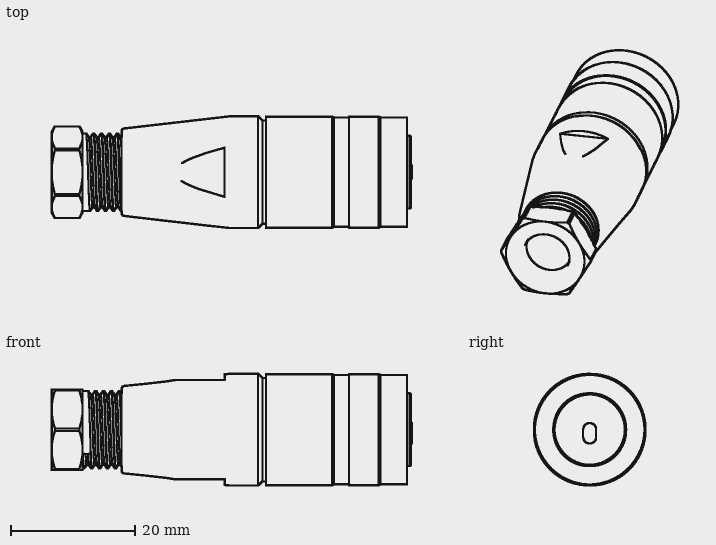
import cadquery as cq
import math


nut_length = 5.0
nut_across_flats = 13.0
nut_corner_diameter = 14.8
nut_chamfer_angle = 30

bore_diameter = 7.6
bore_mouth_radius = 1.05
bore_depth = 3.15

thread_diameter = 12.5
thread_pitch = 1.3
thread_depth = 0.6
groove_root_width = 0.35
groove_crest_width = 1.2
thread_start_angle = 51
groove_run = 7.55
groove_overcut = 0.03

body_start_x = 11.25
body_end_x = 28.6
body_small_diameter = 14.15
body_edge_radius = 0.5
outer_diameter = 18.0
ring_diameter = 17.9
collar_end_x = 33.9

flat_separation = 16.0
flat_end_x = 27.8

neck_diameter = 16.7
sleeve_start_x = 34.5
front_ring_end_x = 45.1
band_end_x = 47.85
rear_ring_end_x = 52.55
shell_end_x = 57.2
band_diameter = 17.6
ring_bevel_length = 0.35

insert_diameter = 11.75
insert_length = 0.65
insert_edge_chamfer = 0.25
key_width = 2.1
key_height = 3.3
key_center_z = -0.6
overall_length = 57.95


def cylinder(start_x, end_x, diameter):
    """Solid cylinder on the X axis."""
    return (
        cq.Workplane("YZ", origin=(start_x, 0, 0))
        .circle(diameter / 2)
        .extrude(end_x - start_x)
    )


def make_nut():
    """Hexagon with a flat on +Z and -Z, trimmed corners and bevelled ends."""
    hexagon = (
        cq.Workplane("YZ")
        .polygon(6, nut_across_flats / math.cos(math.pi / 6))
        .extrude(nut_length)
    )
    flat_radius = nut_across_flats / 2
    corner_radius = nut_corner_diameter / 2
    bevel = (corner_radius - flat_radius) * math.tan(math.radians(nut_chamfer_angle))
    envelope = (
        cylinder(0, nut_length, nut_corner_diameter)
        .edges()
        .chamfer(bevel, corner_radius - flat_radius)
    )
    return hexagon.intersect(envelope)


def make_threaded_stud():
    """Cylinder with a right-hand helical groove that begins at the nut."""
    radius = thread_diameter / 2
    groove_start_x = nut_length + thread_pitch / 2
    root_half = groove_root_width / 2
    crest_half = groove_crest_width / 2
    root_radius = radius - thread_depth
    outer_radius = radius + groove_overcut
    helix = cq.Wire.makeHelix(thread_pitch, groove_run, radius)
    groove = (
        cq.Workplane("XZ")
        .polyline([
            (root_radius, -root_half),
            (outer_radius, -crest_half),
            (outer_radius, crest_half),
            (root_radius, root_half),
        ])
        .close()
        .sweep(cq.Workplane(helix), isFrenet=True)
        .rotate((0, 0, 0), (0, 1, 0), 90)
        .rotate((0, 0, 0), (1, 0, 0), -thread_start_angle)
        .translate((groove_start_x, 0, 0))
    )
    return cylinder(nut_length, body_end_x, thread_diameter).cut(groove)


def make_body():
    """Taper, collar, neck and coupling sleeve as one turned solid."""
    outer_radius = outer_diameter / 2
    neck_radius = neck_diameter / 2
    ring_radius = ring_diameter / 2
    band_radius = band_diameter / 2
    small_radius = body_small_diameter / 2
    taper_start_x = body_start_x + body_edge_radius
    edge_slant = body_edge_radius * math.sqrt(0.5)
    collar_chamfer = outer_radius - neck_radius
    return (
        cq.Workplane("XY")
        .moveTo(body_start_x, 0)
        .lineTo(body_start_x, small_radius - body_edge_radius)
        .threePointArc(
            (taper_start_x - edge_slant, small_radius - body_edge_radius + edge_slant),
            (taper_start_x, small_radius),
        )
        .lineTo(body_end_x, outer_radius)
        .lineTo(collar_end_x - collar_chamfer, outer_radius)
        .lineTo(collar_end_x, neck_radius)
        .lineTo(sleeve_start_x, neck_radius)
        .lineTo(sleeve_start_x, ring_radius)
        .lineTo(front_ring_end_x, ring_radius)
        .lineTo(front_ring_end_x + ring_bevel_length, band_radius)
        .lineTo(band_end_x, band_radius)
        .lineTo(band_end_x, ring_radius)
        .lineTo(rear_ring_end_x, ring_radius)
        .lineTo(rear_ring_end_x + ring_bevel_length, band_radius)
        .lineTo(shell_end_x, band_radius)
        .lineTo(shell_end_x, 0)
        .close()
        .revolve(360, (0, 0, 0), (1, 0, 0))
    )


def make_flat_cutter(side):
    """Block that mills a wrench flat on the +Z (side 1) or -Z (side -1) face."""
    length = flat_end_x - body_start_x
    height = outer_diameter - flat_separation
    return (
        cq.Workplane("XY")
        .box(length, outer_diameter, height)
        .translate((body_start_x + length / 2, 0, side * (flat_separation + height) / 2))
    )


def make_insert():
    """Raised insert face with a round-ended key set slightly below the axis."""
    insert_end_x = shell_end_x + insert_length
    insert = (
        cylinder(shell_end_x, insert_end_x, insert_diameter)
        .faces(">X")
        .chamfer(insert_edge_chamfer)
    )
    key = (
        cq.Workplane("YZ", origin=(insert_end_x, 0, key_center_z))
        .slot2D(key_height, key_width, 90)
        .extrude(overall_length - insert_end_x)
    )
    return insert.union(key)


def make_bore():
    """Blind cable bore with a rounded mouth."""
    radius = bore_diameter / 2
    slant = bore_mouth_radius * math.sqrt(0.5)
    mouth_radius = radius + bore_mouth_radius
    return (
        cq.Workplane("XY")
        .lineTo(0, mouth_radius)
        .threePointArc((bore_mouth_radius - slant, mouth_radius - slant), (bore_mouth_radius, radius))
        .lineTo(bore_depth, radius)
        .lineTo(bore_depth, 0)
        .close()
        .revolve(360, (0, 0, 0), (1, 0, 0))
    )


body = make_body()
for side in (1, -1):
    body = body.cut(make_flat_cutter(side))

result = (
    body
    .union(make_threaded_stud())
    .union(make_nut())
    .union(make_insert())
    .cut(make_bore())
)